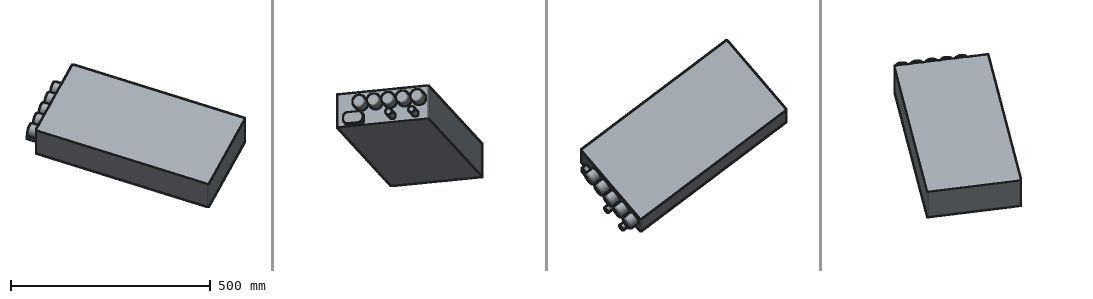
import cadquery as cq

total_length = 505.0
width = 240.0
height = 88.0
housing_corner_radius = 3.0

connector_count = 5
connector_diameter = 34.5
connector_length = 27.0
connector_rim_radius = 3.0
connector_pitch = 38.0
connector_row_center_y = -20.5
connector_z = 55.0

pin_diameter = 16.5
pin_length = 35.5
pin_spacing = 60.0
first_pin_y = -26.0
pin_z = 16.0

socket_width = 50.0
socket_height = 29.5
socket_length = 15.0
socket_corner_radius = 10.0
socket_y = 73.5
socket_z = 17.5

housing_length = total_length - pin_length


def make_housing():
    """Box with its -X face on the YZ plane and its vertical edges rounded."""
    return (
        cq.Workplane("XY")
        .box(housing_length, width, height, centered=(False, True, False))
        .edges("|Z")
        .fillet(housing_corner_radius)
    )


def on_connector_face(y, z):
    """Sketch plane on the -X face of the housing, centred at (y, z)."""
    return cq.Workplane("YZ").center(y, z)


def make_connector(y):
    return (
        on_connector_face(y, connector_z)
        .circle(connector_diameter / 2)
        .extrude(-connector_length)
        .faces("<X")
        .edges()
        .fillet(connector_rim_radius)
    )


def make_pin(y):
    return on_connector_face(y, pin_z).circle(pin_diameter / 2).extrude(-pin_length)


def make_socket():
    return (
        on_connector_face(socket_y, socket_z)
        .rect(socket_width, socket_height)
        .extrude(-socket_length)
        .edges("|X")
        .fillet(socket_corner_radius)
    )


result = make_housing().union(make_socket())

for index in range(connector_count):
    row_offset = (index - (connector_count - 1) / 2) * connector_pitch
    result = result.union(make_connector(connector_row_center_y + row_offset))

for pin_y in (first_pin_y, first_pin_y - pin_spacing):
    result = result.union(make_pin(pin_y))